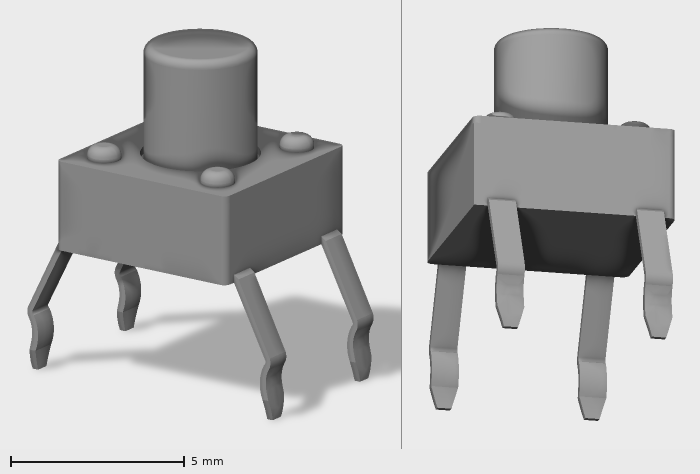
import cadquery as cq

housing_width = 6.0
housing_bottom = 4.0
housing_top = 6.7
band_height = 0.22
corner_radius = 0.2

button_diameter = 3.3
button_top = 10.0
button_edge_radius = 0.25
recess_diameter = 3.5
recess_depth = band_height

rivet_diameter = 1.0
rivet_height = 0.4
rivet_edge_radius = 0.3
rivet_spacing = 4.0

leg_width = 0.8
leg_pitch = 4.4
leg_span = 8.57
tip_width = 0.42
tip_taper_height = 0.63

half_width = housing_width / 2
band_bottom = housing_top - band_height


def make_housing():
    """Block with one sharp lower corner, a fully rounded band and the button recess."""
    block = (
        cq.Workplane("XY", origin=(0, 0, housing_bottom))
        .rect(housing_width, housing_width)
        .extrude(band_bottom - housing_bottom)
        .edges("|Z and (>X or <Y)")
        .fillet(corner_radius)
    )
    band = (
        cq.Workplane("XY", origin=(0, 0, band_bottom))
        .rect(housing_width, housing_width)
        .extrude(band_height)
        .edges("|Z")
        .fillet(corner_radius)
    )
    recess = (
        cq.Workplane("XY", origin=(0, 0, housing_top - recess_depth))
        .circle(recess_diameter / 2)
        .extrude(recess_depth)
    )
    return block.union(band, clean=False).cut(recess, clean=False)


def make_button():
    """Round plunger resting on the recess floor, with a rounded top edge."""
    floor = housing_top - recess_depth
    return (
        cq.Workplane("XY", origin=(0, 0, floor))
        .circle(button_diameter / 2)
        .extrude(button_top - floor)
        .faces(">Z")
        .edges()
        .fillet(button_edge_radius)
    )


def make_rivet(x, y):
    """Domed rivet head resting on the top of the housing."""
    return (
        cq.Workplane("XY", origin=(x, y, housing_top))
        .circle(rivet_diameter / 2)
        .extrude(rivet_height)
        .faces(">Z")
        .edges()
        .fillet(rivet_edge_radius)
    )


def make_leg(side, y):
    """Bent strip on the +X (side = 1) or -X (side = -1) wall, tapered at its tip."""
    strip = (
        cq.Workplane("XZ", origin=(0, leg_width / 2, 0))
        .moveTo(half_width, 4.24)
        .lineTo(3.16, 4.13)
        .lineTo(4.26, 1.93)
        .threePointArc((leg_span / 2, 1.79), (4.22, 1.57))
        .spline(
            [(4.13, 1.3), (4.13, 1.0), (4.21, tip_taper_height), (4.25, 0.3), (4.23, 0)],
            includeCurrent=True,
        )
        .lineTo(4.04, 0)
        .threePointArc((4.03, 0.3), (4.0, tip_taper_height))
        .threePointArc((3.91, 1.18), (4.06, 1.7))
        .threePointArc((4.11, 1.77), (4.1, 1.84))
        .lineTo(half_width, 4.0)
        .close()
        .extrude(leg_width)
    )
    taper = (
        cq.Workplane("YZ")
        .moveTo(-tip_width / 2, 0)
        .lineTo(tip_width / 2, 0)
        .lineTo(leg_width / 2, tip_taper_height)
        .lineTo(leg_width / 2, housing_top)
        .lineTo(-leg_width / 2, housing_top)
        .lineTo(-leg_width / 2, tip_taper_height)
        .close()
        .extrude(housing_width)
    )
    leg = strip.intersect(taper)
    if side < 0:
        leg = leg.mirror("YZ")
    return leg.translate((0, y, 0))


housing = make_housing()
button = make_button()
rivets = []
legs = []
for side_x in (-1, 1):
    for side_y in (-1, 1):
        rivets.append(make_rivet(side_x * rivet_spacing / 2, side_y * rivet_spacing / 2).val())
        legs.append(make_leg(side_x, side_y * leg_pitch / 2).val())

result = cq.Compound.makeCompound([housing.val(), button.val(), *rivets, *legs])